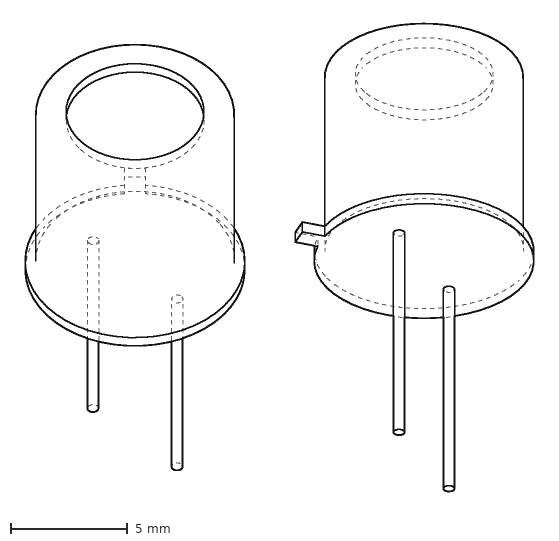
import cadquery as cq

FLANGE_DIAMETER = 9.4
FLANGE_THICKNESS = 0.5

CAN_DIAMETER = 8.5
CAN_TOP = 9.4
CAN_TOP_FILLET = 0.2
CAN_FOOT_FILLET = 0.1

WINDOW_DIAMETER = 5.9
WINDOW_DEPTH = 0.5

TAB_WIDTH = 0.9
TAB_LENGTH = 1.0
TAB_ANGLE = 135

PIN_DIAMETER = 0.48
PIN_LENGTH = 10.0
PIN_PITCH = 5.08


def make_housing():
    """Revolve the flange and can, with a rounded top edge and a filleted foot."""
    flange_radius = FLANGE_DIAMETER / 2
    can_radius = CAN_DIAMETER / 2
    profile = (
        cq.Workplane("XZ")
        .moveTo(0, 0)
        .lineTo(flange_radius, 0)
        .lineTo(flange_radius, FLANGE_THICKNESS)
        .lineTo(can_radius + CAN_FOOT_FILLET, FLANGE_THICKNESS)
        .radiusArc((can_radius, FLANGE_THICKNESS + CAN_FOOT_FILLET), CAN_FOOT_FILLET)
        .lineTo(can_radius, CAN_TOP - CAN_TOP_FILLET)
        .radiusArc((can_radius - CAN_TOP_FILLET, CAN_TOP), -CAN_TOP_FILLET)
        .lineTo(0, CAN_TOP)
        .close()
    )
    return profile.revolve(360, (0, 0, 0), (0, 1, 0))


def make_window():
    """Cutter for the round recess in the can top."""
    return (
        cq.Workplane("XY", origin=(0, 0, CAN_TOP - WINDOW_DEPTH))
        .circle(WINDOW_DIAMETER / 2)
        .extrude(WINDOW_DEPTH)
    )


def make_tab():
    """Radial tab, as thick as the flange, running from under the can past the rim."""
    root_radius = CAN_DIAMETER / 2
    tip_radius = FLANGE_DIAMETER / 2 + TAB_LENGTH
    return (
        cq.Workplane("XY")
        .center((root_radius + tip_radius) / 2, 0)
        .rect(tip_radius - root_radius, TAB_WIDTH)
        .extrude(FLANGE_THICKNESS)
        .rotate((0, 0, 0), (0, 0, 1), TAB_ANGLE)
    )


def make_pins():
    """Two straight pins hanging from the flange underside, side by side along X."""
    return (
        cq.Workplane("XY")
        .pushPoints([(-PIN_PITCH / 2, 0), (PIN_PITCH / 2, 0)])
        .circle(PIN_DIAMETER / 2)
        .extrude(-PIN_LENGTH)
    )


housing = make_housing().cut(make_window())
result = housing.union(make_tab()).union(make_pins())